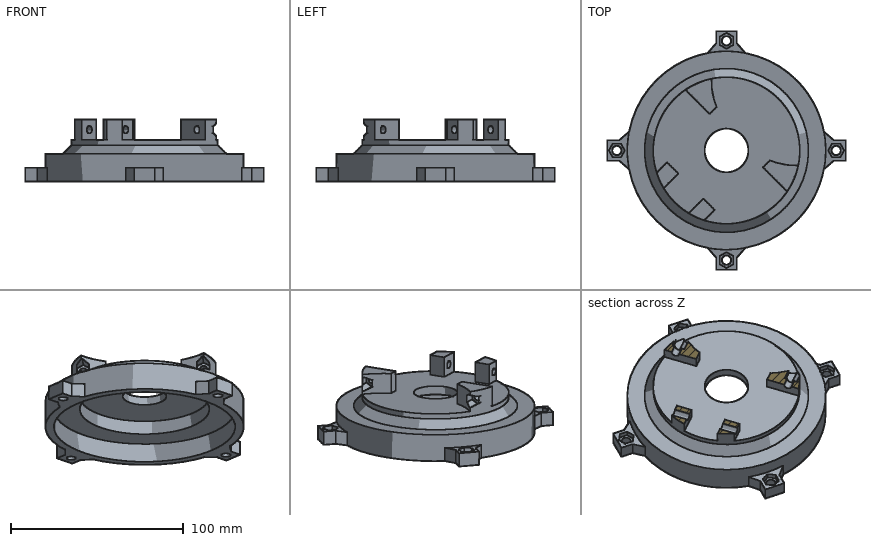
import cadquery as cq
import math

lug_height = 8.0
base_height = 16.0
cone_top = 21.0
plate_top = 24.1
total_height = 36.0

base_diameter = 115.0
cone_bottom_diameter = 94.9
plate_diameter = 85.0
center_hole_diameter = 25.2
wall = 5.0

lug_count = 4
lug_reach = 69.2
lug_width = 12.0
gusset_start = 62.1
gusset_half_width = 10.9
lug_hole_radius_from_center = 63.5
lug_hole_diameter = 5.3

hexagon_sides = 6
lug_nut_flats = 8.0
lug_nut_depth = 3.0
arm_nut_flats = 7.2
arm_nut_web = lug_height - lug_nut_depth

upright_angle = 45
upright_hole_diameter = 4.3
upright_hole_offset = 34.9
upright_hole_height = (plate_top + total_height) / 2

post_inner_side = 10.2
post_outer_side = 19.5
post_inner_end = -29.2

arm_face = 8.0
arm_inner_side = 21.9
scoop_center_along = 48.5
scoop_center_across = 7.6
scoop_diameter = 75.3


def across_corners(flats):
    """Corner-to-corner size of a hexagon, from its size across the flats."""
    return flats / math.cos(math.pi / hexagon_sides)


def disc(diameter, bottom, top):
    """Upright cylinder on the Z axis."""
    return cq.Workplane("XY").workplane(offset=bottom).circle(diameter / 2).extrude(top - bottom)


def block(x_range, y_range, bottom, top):
    """Box given by its ranges in X, Y and Z."""
    return (
        cq.Workplane("XY")
        .workplane(offset=bottom)
        .moveTo(sum(x_range) / 2, sum(y_range) / 2)
        .rect(x_range[1] - x_range[0], y_range[1] - y_range[0])
        .extrude(top - bottom)
    )


def make_body():
    """Stepped, hollow body, revolved from a half section."""
    base_radius = base_diameter / 2
    bore_radius = plate_diameter / 2 - wall
    hole_radius = center_hole_diameter / 2
    base_roof = base_height - wall
    plate_bottom = plate_top - wall
    half_section = [
        (base_radius - wall, 0),
        (base_radius, 0),
        (base_radius, base_height),
        (cone_bottom_diameter / 2, base_height),
        (plate_diameter / 2, cone_top),
        (plate_diameter / 2, plate_top),
        (hole_radius, plate_top),
        (hole_radius, plate_bottom),
        (bore_radius, plate_bottom),
        (bore_radius, base_roof),
        (base_radius - wall, base_roof),
    ]
    return cq.Workplane("XZ").polyline(half_section).close().revolve(360, (0, 0), (0, 1))


def make_lug():
    """Lug on the +X side: square end, gussets into the base, bolt hole and nut pocket."""
    half_width = lug_width / 2
    root = (base_diameter - wall) / 2
    gusset_end = math.sqrt((base_diameter / 2) ** 2 - gusset_half_width**2)
    upper_half = [
        (lug_reach, half_width),
        (gusset_start, half_width),
        (gusset_end, gusset_half_width),
        (root, half_width),
    ]
    lower_half = [(x, -y) for x, y in reversed(upper_half)]
    plan = cq.Workplane("XY").polyline(upper_half + lower_half).close()
    return (
        plan.extrude(lug_height)
        .faces(">Z")
        .workplane(origin=(lug_hole_radius_from_center, 0, lug_height))
        .polygon(hexagon_sides, across_corners(lug_nut_flats))
        .cutBlind(-lug_nut_depth)
        .workplane(origin=(lug_hole_radius_from_center, 0, lug_height))
        .circle(lug_hole_diameter / 2)
        .cutThruAll()
    )


def make_post():
    """Post on the +across side, drilled across."""
    plate_radius = plate_diameter / 2
    post = block(
        (-plate_radius, post_inner_end), (-post_outer_side, -post_inner_side), plate_top, total_height
    )
    hole = (
        cq.Workplane("XZ", origin=(-upright_hole_offset, 0, upright_hole_height))
        .circle(upright_hole_diameter / 2)
        .extrude(plate_radius)
    )
    return post.cut(hole)


def make_arm():
    """Arm on the +across side: flat face, scooped back, drilled along with a nut pocket behind."""
    plate_radius = plate_diameter / 2
    arm = block((arm_face, plate_radius), (-plate_radius, -arm_inner_side), plate_top, total_height)
    scoop_center = (scoop_center_along, -scoop_center_across, 0)
    scoop = disc(scoop_diameter, plate_top, total_height).translate(scoop_center)
    hole_plane = cq.Workplane("YZ", origin=(arm_face, -upright_hole_offset, upright_hole_height))
    hole = hole_plane.circle(upright_hole_diameter / 2).extrude(plate_radius)
    nut_pocket = (
        hole_plane.workplane(offset=arm_nut_web)
        .transformed(rotate=(0, 0, 180 / hexagon_sides))
        .polygon(hexagon_sides, across_corners(arm_nut_flats))
        .extrude(plate_radius)
    )
    return arm.cut(scoop).cut(hole).cut(nut_pocket)


uprights = make_post().union(make_arm())
uprights = uprights.union(uprights.mirror("XZ"))
uprights = uprights.intersect(disc(plate_diameter, plate_top, total_height))
uprights = uprights.rotate((0, 0, 0), (0, 0, 1), upright_angle)

result = make_body().union(uprights)
lug = make_lug()
for index in range(lug_count):
    turn = index * 360 / lug_count
    result = result.union(lug.rotate((0, 0, 0), (0, 0, 1), turn))